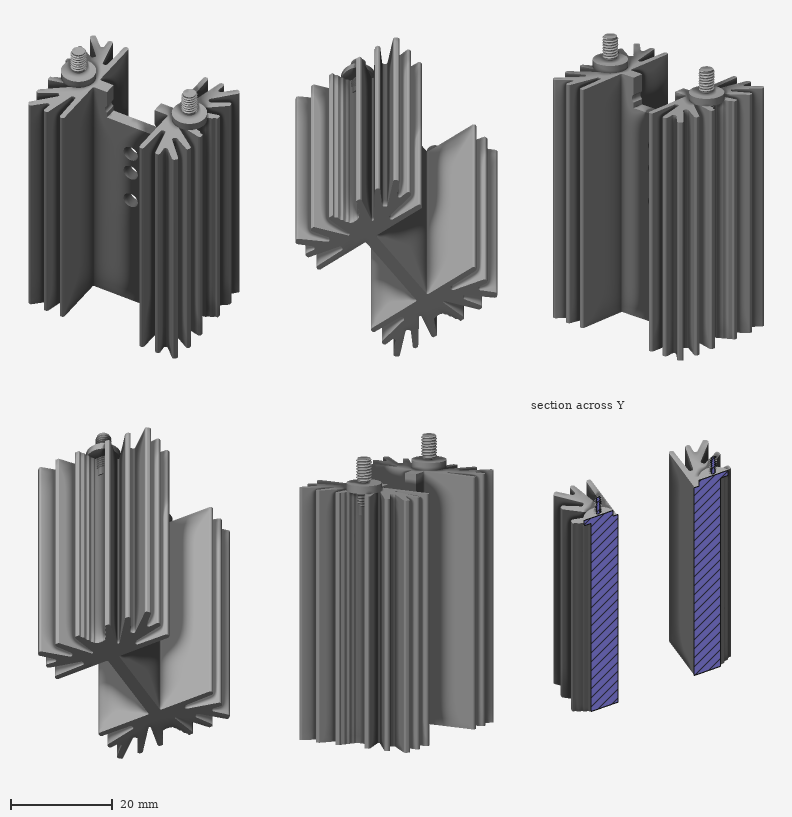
import cadquery as cq
import math

total_height = 57.3
stud_height = 6.55
body_height = total_height - stud_height

overall_width = 35.0
overall_depth = 25.4
half_width = overall_width / 2
half_depth = overall_depth / 2
web_half_thickness = 1.25
web_half_width = 8.6
tip_radius = 0.45
root_radius = 0.4
tooth_radius = 0.1

notch_half_width = 5.45
notch_depth = 6.5
relief_radius = 1.0
relief_reach = 0.45
relief_depth = 4.45

hole_diameter = 3.25
hole_depths = (13.45, 18.3, 25.3)

stud_x = 12.7
washer_radius = 3.5
washer_height = 1.55
thread_radius = 1.55
core_radius = 1.3
thread_pitch = 0.6
crest_width = 0.085
ridge_base = 0.45
neck_radius = 0.7
neck_length = 0.35
sunk_thread_depth = 3.15
pilot_depth = 4.75
overlap = 0.05

quarter_corners = [
    (0, 0, 0),
    (0, web_half_thickness, 0),
    (web_half_width, web_half_thickness, 0.3),
    (web_half_width, half_depth, tip_radius),
    (9.6, half_depth, tip_radius),
    (9.8, 5.8, root_radius),
    (10.7, 5.8, root_radius),
    (12.3, half_depth, tip_radius),
    (13.35, half_depth, tip_radius),
    (13.05, 10.1, root_radius),
    (13.8, 10.2, root_radius),
    (16.4, 12.7, tip_radius),
    (17.3, 11.85, tip_radius),
    (12.85, 7.05, root_radius),
    (13.5, 6.35, root_radius),
    (17.1, 8.4, 0.3),
    (half_width, 8.15, 0.25),
    (half_width, 7.45, 0.25),
    (11.7, 3.0, 0.25),
    (12.0, 2.7, 0.2),
    (17.0, 3.9, 0.35),
    (half_width, 3.8, 0.25),
    (half_width, 2.8, 0.2),
    (16.95, 2.8, tooth_radius),
    (16.45, 2.3, tooth_radius),
    (15.75, 2.2, tooth_radius),
    (15.4, 1.8, tooth_radius),
    (14.7, 1.65, tooth_radius),
    (14.4, 1.25, tooth_radius),
    (14.05, 1.15, tooth_radius),
    (13.8, 0.45, 0),
    (13.8, 0, 0),
]


def rounded_outline(corners):
    """Closed outline through the corners, each rounded by a tangent arc."""
    outline = None
    for i, (x, y, radius) in enumerate(corners):
        corner = cq.Vector(x, y)
        before = cq.Vector(*corners[i - 1][:2])
        after = cq.Vector(*corners[(i + 1) % len(corners)][:2])
        back = (before - corner).normalized()
        ahead = (after - corner).normalized()
        half_angle = back.getAngle(ahead) / 2
        setback = radius / math.tan(half_angle)
        start = corner + back * setback
        if outline is None:
            outline = cq.Workplane("XY").moveTo(start.x, start.y)
        else:
            outline = outline.lineTo(start.x, start.y)
        if radius > 0:
            bisector = (back + ahead).normalized()
            middle = corner + bisector * (radius / math.sin(half_angle) - radius)
            end = corner + ahead * setback
            outline = outline.threePointArc((middle.x, middle.y), (end.x, end.y))
    return outline.close()


def cylinder(radius, bottom, top):
    """Vertical cylinder on the Z axis between two heights."""
    return cq.Workplane("XY").workplane(offset=bottom).circle(radius).extrude(top - bottom)


def make_body():
    """Heat sink extrusion, symmetric about both vertical mid-planes."""
    quarter = rounded_outline(quarter_corners).extrude(-body_height)
    half = quarter.union(quarter.mirror("XZ"))
    return half.union(half.mirror("YZ"))


def make_notch():
    """Cutter for the web notch and its two round reliefs."""
    notch = (
        cq.Workplane("XZ")
        .center(0, -notch_depth / 2)
        .rect(2 * notch_half_width, notch_depth)
        .extrude(web_half_thickness, both=True)
    )
    relief_x = notch_half_width + relief_reach - relief_radius
    reliefs = (
        cq.Workplane("XZ")
        .pushPoints([(-relief_x, -relief_depth), (relief_x, -relief_depth)])
        .circle(relief_radius)
        .extrude(web_half_thickness, both=True)
    )
    return notch.union(reliefs)


def make_web_holes():
    """Cutters for the mounting holes."""
    return (
        cq.Workplane("XZ")
        .pushPoints([(0, -depth) for depth in hole_depths])
        .circle(hole_diameter / 2)
        .extrude(web_half_thickness, both=True)
    )


def make_thread(bottom, top):
    """Threaded rod: a core cylinder with a helical ridge."""
    helix = cq.Wire.makeHelix(thread_pitch, top - bottom - ridge_base, core_radius)
    root = core_radius - overlap
    ridge = (
        cq.Workplane("XZ")
        .polyline([
            (root, -ridge_base / 2),
            (thread_radius, -crest_width / 2),
            (thread_radius, crest_width / 2),
            (root, ridge_base / 2),
        ])
        .close()
        .sweep(cq.Workplane(obj=helix), isFrenet=True)
        .translate((0, 0, bottom + ridge_base / 2))
    )
    return cylinder(core_radius, bottom, top).union(ridge)


def make_stud():
    """Washer on the body's top face, with threads above and below it."""
    thread_start = washer_height + neck_length
    stud = cylinder(washer_radius, 0, washer_height)
    stud = stud.union(cylinder(neck_radius, washer_height, thread_start))
    stud = stud.union(cylinder(core_radius, -pilot_depth, -sunk_thread_depth))
    stud = stud.union(make_thread(-sunk_thread_depth, 0))
    return stud.union(make_thread(thread_start, stud_height))


result = make_body().cut(make_notch()).cut(make_web_holes())
stud = make_stud()
for x in (-stud_x, stud_x):
    result = result.union(stud.translate((x, 0, 0)))